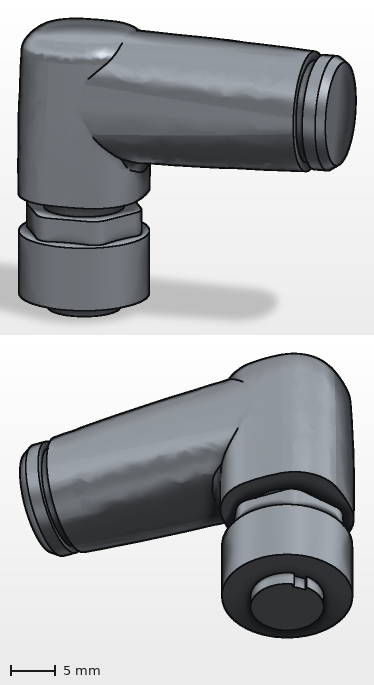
import cadquery as cq
import math


INSERT_TOP = 1.6
NUT_TOP = 8.85
NUT_CONE_TOP = 9.05
HEX_TOP = 11.7
HOUSING_BASE = 13.45
HOUSING_TOP = 32.0

INSERT_RADIUS = 4.08
KEYWAY_WIDTH = 1.5
KEYWAY_DEPTH = 0.5
KEYWAY_ANGLE = 135.0

NUT_RADIUS = 7.3
HEX_ACROSS_FLATS = 12.0
HEX_CORNER_RADIUS = 2.0
NECK_RADIUS = 4.5

HOUSING_MID = 22.0
HOUSING_BASE_HALF = 7.05
HOUSING_TOP_HALF = 6.65
HOUSING_BASE_FLAT = 2.3
HOUSING_TOP_FLAT = 2.0
HOUSING_TOP_FILLET = 2.1

ARM_AXIS_HEIGHT = 24.9
ARM_START = -2.0
ARM_MID = 13.0
ARM_END = 26.45
ARM_START_HALF_WIDTH = 6.8
ARM_MID_HALF_WIDTH = 7.0
ARM_END_HALF_WIDTH = 6.45
ARM_START_HALF_HEIGHT = 6.98
ARM_MID_HALF_HEIGHT = 7.03
ARM_END_HALF_HEIGHT = 6.75
ARM_START_FLAT = 3.2
ARM_END_FLAT = 0.95

BLEND_RADIUS = 1.8
BLEND_REACH = 6.4
BLEND_END_REACH = 6.0
BLEND_SIDE_STATIONS = 4
BLEND_OVERLAP = 0.4

GROOVE_WIDTH = 1.05
GROOVE_DEPTH = 1.05
COLLAR_RADIUS = 6.45
COLLAR_END = 30.0
COLLAR_BEVEL_LENGTH = 1.0
COLLAR_BEVEL_DEPTH = 0.65

SIDE_END_SLOPE = math.radians(7.5)


def rounded_outline(plane, half_u, half_v, flat):
    """Closed rectangle outline with slightly bowed sides joined by large, tangent corner arcs."""
    bow = flat * math.tan(SIDE_END_SLOPE / 2)
    corner_rise = math.tan((math.pi / 4 - SIDE_END_SLOPE) / 2)
    edge_u = half_u - bow
    edge_v = half_v - bow
    mid_u = (edge_u + flat) / 2 + corner_rise * (edge_v - flat) / 2
    mid_v = (edge_v + flat) / 2 + corner_rise * (edge_u - flat) / 2
    return (
        cq.Workplane(plane)
        .moveTo(edge_u, -flat)
        .threePointArc((half_u, 0), (edge_u, flat))
        .threePointArc((mid_u, mid_v), (flat, edge_v))
        .threePointArc((0, half_v), (-flat, edge_v))
        .threePointArc((-mid_u, mid_v), (-edge_u, flat))
        .threePointArc((-half_u, 0), (-edge_u, -flat))
        .threePointArc((-mid_u, -mid_v), (-flat, -edge_v))
        .threePointArc((0, -half_v), (flat, -edge_v))
        .threePointArc((mid_u, -mid_v), (edge_u, -flat))
        .close()
    )


def level_plane(height):
    """Horizontal plane centred on the nut axis."""
    return cq.Plane(origin=(0, 0, height), xDir=(1, 0, 0), normal=(0, 0, 1))


def arm_plane(station):
    """Plane across the arm axis: local x along Y, local y along Z."""
    return cq.Plane(origin=(station, 0, ARM_AXIS_HEIGHT), xDir=(0, 1, 0), normal=(1, 0, 0))


def loft_outlines(outlines):
    """Smooth solid through a series of closed outlines."""
    wires = [outline.val() for outline in outlines]
    return cq.Workplane(cq.Solid.makeLoft(wires))


def make_insert():
    insert = cq.Workplane("XY").circle(INSERT_RADIUS).extrude(NUT_TOP)
    keyway = (
        cq.Workplane("XY")
        .center(INSERT_RADIUS, 0)
        .rect(2 * KEYWAY_DEPTH, KEYWAY_WIDTH)
        .extrude(INSERT_TOP)
        .rotate((0, 0, 0), (0, 0, 1), KEYWAY_ANGLE)
    )
    return insert.cut(keyway)


def make_nut():
    hex_across_corners = HEX_ACROSS_FLATS / math.cos(math.radians(30))
    ring = (
        cq.Workplane("XZ")
        .moveTo(0, INSERT_TOP)
        .lineTo(NUT_RADIUS, INSERT_TOP)
        .lineTo(NUT_RADIUS, NUT_TOP)
        .lineTo(HEX_ACROSS_FLATS / 2, NUT_CONE_TOP)
        .lineTo(0, NUT_CONE_TOP)
        .close()
        .revolve(360, (0, 0), (0, 1))
    )
    hexagon = (
        cq.Workplane(level_plane(INSERT_TOP))
        .polygon(6, hex_across_corners)
        .extrude(HEX_TOP - INSERT_TOP)
        .edges("|Z")
        .fillet(HEX_CORNER_RADIUS)
    )
    neck = cq.Workplane(level_plane(INSERT_TOP)).circle(NECK_RADIUS).extrude(HOUSING_BASE - INSERT_TOP)
    return ring.union(hexagon).union(neck)


def make_housing():
    base_half = HOUSING_BASE_HALF
    top_half = HOUSING_TOP_HALF
    housing = loft_outlines(
        [
            rounded_outline(level_plane(HOUSING_BASE), base_half, base_half, HOUSING_BASE_FLAT),
            rounded_outline(level_plane(HOUSING_MID), base_half, base_half, HOUSING_BASE_FLAT),
            rounded_outline(level_plane(HOUSING_TOP), top_half, top_half, HOUSING_TOP_FLAT),
        ]
    )
    return housing.faces(">Z").edges().fillet(HOUSING_TOP_FILLET)


def make_arm():
    start_plane = arm_plane(ARM_START)
    mid_plane = arm_plane(ARM_MID)
    end_plane = arm_plane(ARM_END)
    mid_flat = (ARM_START_FLAT + ARM_END_FLAT) / 2
    return loft_outlines(
        [
            rounded_outline(start_plane, ARM_START_HALF_WIDTH, ARM_START_HALF_HEIGHT, ARM_START_FLAT),
            rounded_outline(mid_plane, ARM_MID_HALF_WIDTH, ARM_MID_HALF_HEIGHT, mid_flat),
            rounded_outline(end_plane, ARM_END_HALF_WIDTH, ARM_END_HALF_HEIGHT, ARM_END_FLAT),
        ]
    )


def outline_reach(half, flat, offset):
    """Distance from centre line to a square bowed outline, at a sideways offset."""
    bow = flat * math.tan(SIDE_END_SLOPE / 2)
    if abs(offset) <= flat:
        return half - bow * (offset / flat) ** 2
    edge = half - bow
    corner_radius = (edge - flat) / (math.sqrt(2) * math.sin(math.pi / 4 - SIDE_END_SLOPE))
    corner_center = edge - corner_radius * math.cos(SIDE_END_SLOPE)
    return corner_center + math.sqrt(corner_radius**2 - (abs(offset) - corner_center) ** 2)


def blend_section(offset):
    """Concave corner section, in a plane of constant Y, between housing and arm underside."""
    radius = BLEND_RADIUS * (1 - (offset / BLEND_REACH) ** 2)
    wall_x = outline_reach(HOUSING_BASE_HALF, HOUSING_BASE_FLAT, offset)
    under_z = ARM_AXIS_HEIGHT - outline_reach(ARM_MID_HALF_HEIGHT, HOUSING_BASE_FLAT, offset)
    arc_drop = radius * (1 - math.sqrt(0.5))
    plane = cq.Plane(origin=(wall_x, offset, under_z), xDir=(1, 0, 0), normal=(0, -1, 0))
    return (
        cq.Workplane(plane)
        .moveTo(-BLEND_OVERLAP, BLEND_OVERLAP)
        .lineTo(-BLEND_OVERLAP, -radius)
        .lineTo(0, -radius)
        .threePointArc((arc_drop, -arc_drop), (radius, 0))
        .lineTo(radius, BLEND_OVERLAP)
        .close()
    )


def make_elbow_blend():
    spacing = BLEND_END_REACH / BLEND_SIDE_STATIONS
    stations = range(-BLEND_SIDE_STATIONS, BLEND_SIDE_STATIONS + 1)
    return loft_outlines([blend_section(station * spacing) for station in stations])


def make_collar():
    groove_end = ARM_END + GROOVE_WIDTH
    core = rounded_outline(
        arm_plane(ARM_END),
        ARM_END_HALF_WIDTH - GROOVE_DEPTH,
        ARM_END_HALF_HEIGHT - GROOVE_DEPTH,
        ARM_END_FLAT,
    ).extrude(GROOVE_WIDTH)
    collar = (
        cq.Workplane(arm_plane(groove_end))
        .circle(COLLAR_RADIUS)
        .extrude(COLLAR_END - groove_end)
        .faces(">X")
        .chamfer(COLLAR_BEVEL_LENGTH, COLLAR_BEVEL_DEPTH)
    )
    return core.union(collar)


housing = make_housing().union(make_arm()).union(make_elbow_blend())
result = make_insert().union(make_nut()).union(housing).union(make_collar())